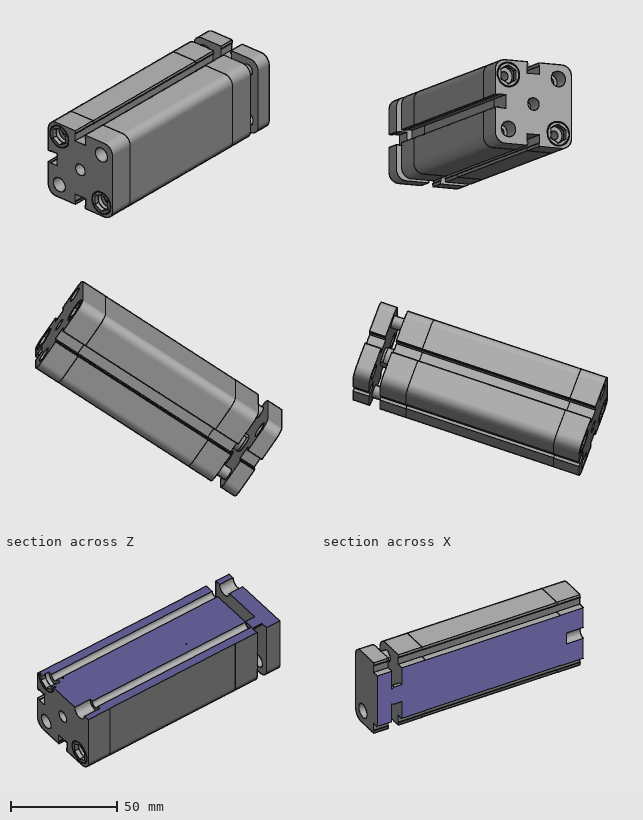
import cadquery as cq
import math

width = 40.1
length = 113.0
front_cap_length = 12.8
back_cap_length = 13.0
plate_thickness = 8.0
plate_gap = 5.4
barrel_length = length - front_cap_length - back_cap_length - plate_gap - plate_thickness
body_length = front_cap_length + barrel_length + back_cap_length
plate_start = body_length + plate_gap

cap_corner_radius = 5.1
barrel_width = 39.9
barrel_corner_radius = 4.6

slot_mouth_width = 6.2
slot_throat_width = 5.8
slot_inner_width = 6.5
slot_depth = 5.5
slot_lip = 1.6

fastener_offset = 13.1
fastener_bore_diameter = 4.2
counterbore_diameter = 7.5
counterbore_depth = 9.0
head_ring_diameter = 11.8
screw_head_diameter = 11.1
head_ring_depth = 1.1
hex_flats = 7.9
hex_depth = 2.5
hex_turn = 30
socket_bore_diameter = 8.5
socket_bore_depth = 2.3
center_hole_diameter = 6.0
center_hole_depth = 9.0

pin_diameter = 6.0
pin_offset = 13.5
plate_hole_diameter = 7.5
rod_diameter = 10.0
rod_flats = 8.0
rod_flat_length = 3.5
rod_chamfer_radial = 0.6
rod_chamfer_length = 1.2


def section_at(y):
    """Workplane across the part at y, local axes along X and Z; negative extrusions run toward +Y."""
    return cq.Workplane(cq.Plane(origin=(0, y, 0), xDir=(1, 0, 0), normal=(0, -1, 0)))


def slot(y, slot_length, side, angle):
    """Slot in the top face of a square block, turned about Y by the angle.

    The lip walls taper from the mouth to the throat and the slot widens below them.
    """
    top = side / 2
    lip_bottom = top - slot_lip
    floor = top - slot_depth
    right_wall = [
        (slot_mouth_width / 2, top),
        (slot_throat_width / 2, lip_bottom),
        (slot_inner_width / 2, lip_bottom),
        (slot_inner_width / 2, floor),
    ]
    left_wall = [(-x, z) for x, z in reversed(right_wall)]
    profile = section_at(y).polyline(right_wall + left_wall).close()
    return profile.extrude(-slot_length).rotate((0, 0, 0), (0, 1, 0), angle)


def block(y, block_length, side, corner_radius):
    """Square block with rounded lengthwise edges and slots on its top, left and bottom faces."""
    solid = section_at(y).rect(side, side).extrude(-block_length).edges("|Y").fillet(corner_radius)
    for angle in (0, -90, 180):
        solid = solid.cut(slot(y, block_length, side, angle))
    return solid


def cylinder(y, cylinder_length, diameter, points):
    """Equal cylinders along Y, one at each (X, Z) point."""
    return section_at(y).pushPoints(points).circle(diameter / 2).extrude(-cylinder_length)


def diagonal_pair(offset, rising):
    """Two opposite corner points; rising joins (-X, -Z) to (+X, +Z)."""
    z = offset if rising else -offset
    return [(offset, z), (-offset, -z)]


screw_points = diagonal_pair(fastener_offset, rising=False)
counterbore_points = diagonal_pair(fastener_offset, rising=True)

body = (
    block(0, front_cap_length, width, cap_corner_radius)
    .union(block(front_cap_length, barrel_length, barrel_width, barrel_corner_radius))
    .union(block(front_cap_length + barrel_length, back_cap_length, width, cap_corner_radius))
)
plate = block(plate_start, plate_thickness, width, cap_corner_radius)

body = body.cut(cylinder(0, body_length, fastener_bore_diameter, screw_points + counterbore_points))
body = body.cut(cylinder(0, counterbore_depth, counterbore_diameter, counterbore_points))
body = body.cut(cylinder(0, center_hole_depth, center_hole_diameter, [(0, 0)]))

seat = cylinder(0, head_ring_depth, head_ring_diameter, screw_points)
head = cylinder(0, head_ring_depth, screw_head_diameter, screw_points)
body = body.cut(seat.cut(head))
hex_corner_diameter = hex_flats / math.cos(math.pi / 6)
hex_socket = (
    section_at(0).polygon(6, hex_corner_diameter).extrude(-hex_depth)
    .rotate((0, 0, 0), (0, 1, 0), hex_turn)
)
for x, z in screw_points:
    body = body.cut(hex_socket.translate((x, 0, z)))
body = body.cut(cylinder(hex_depth, socket_bore_depth, socket_bore_diameter, screw_points))

plate = plate.cut(cylinder(plate_start, plate_thickness, plate_hole_diameter, screw_points))

pins = cylinder(body_length, plate_gap, pin_diameter, diagonal_pair(pin_offset, rising=True))

rod_radius = rod_diameter / 2
rod = (
    cq.Workplane("XY")
    .moveTo(0, body_length)
    .lineTo(rod_radius, body_length)
    .lineTo(rod_radius, plate_start - rod_chamfer_length)
    .lineTo(rod_radius - rod_chamfer_radial, plate_start)
    .lineTo(0, plate_start)
    .close()
    .revolve(360, (0, 0, 0), (0, 1, 0))
)
flat_depth = (rod_diameter - rod_flats) / 2
flat_end = plate_start - rod_flat_length
for side in (-1, 1):
    flat_cut = (
        cq.Workplane("XY")
        .moveTo(side * rod_flats / 2, plate_start)
        .lineTo(side * rod_flats / 2, flat_end)
        .lineTo(side * rod_radius, flat_end - flat_depth)
        .lineTo(side * rod_radius, plate_start)
        .close()
        .extrude(rod_radius, both=True)
    )
    rod = rod.cut(flat_cut)

result = body.union(pins).union(rod).union(plate)